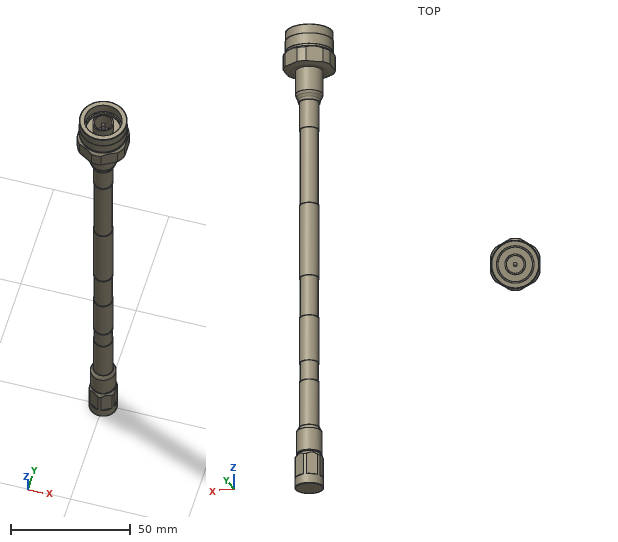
import cadquery as cq
import math

overall_length = 205.5
hex_sides = 6

cable_radius = 4.1
band_depth = 0.3
cable_bottom = 27.1
cable_top = 173.8
bands = [(47.7, 56.3), (76.6, 94.7), (127.5, 161.5)]

nut_across_flats = 20.5
nut_corner_radius = 10.9
nut_bottom = 188.0
nut_bottom_face_radius = 7.5
nut_bottom_chamfer_height = 0.6
nut_top = 195.8
nut_top_chamfer_height = 1.0
shell_radius = 10.0
shell_lip_step = 0.1
shell_lip_bottom = 201.4
shell_bottom = 196.6
neck_radius = 9.9
barrel_radius = 5.8
barrel_bottom = 177.5
collar_shoulder_radius = 5.3
collar_shoulder = 176.3
collar_radius = 4.7
collar_end_radius = 4.5
collar_taper_end = 175.0

rim_chamfer = 0.2
bore_radius = 7.8
ledge_depth = 4.5
ledge_radius = 7.2
bore_depth = 6.2
sleeve_bore_depth = 10.3
sleeve_radius = 4.3
sleeve_bore_radius = 3.7
sleeve_recess = 1.6
pin_radius = 0.8
pin_tip_height = 1.0
pin_recess = 1.8

body_radius = 5.3
body_bottom = 15.5
body_rim_radius = 4.3
body_chamfer_height = 1.8
small_neck_radius = 5.0
small_nut_radius = 6.0
small_nut_across_flats = 10.9
small_nut_top = 15.0
small_nut_chamfer_height = 1.6
flats_bottom = 4.3
base_chamfer = 0.2


def revolved(profile):
    """Turn a closed (radius, height) profile about the Z axis."""
    return cq.Workplane("XZ").polyline(profile).close().revolve(360, (0, 0, 0), (0, 1, 0))


def cylinder(radius, bottom, top):
    return cq.Workplane("XY").workplane(offset=bottom).circle(radius).extrude(top - bottom)


def hexagon(across_flats, bottom, top):
    """Hexagonal prism with two of its flats facing along X."""
    across_corners = across_flats / math.cos(math.pi / hex_sides)
    prism = cq.Workplane("XY").polygon(hex_sides, across_corners).extrude(top - bottom)
    return prism.rotate((0, 0, 0), (0, 0, 1), 180 / hex_sides).translate((0, 0, bottom))


def make_cable():
    cable = cylinder(cable_radius, cable_bottom, cable_top)
    for bottom, top in bands:
        ring = cylinder(cable_radius, bottom, top).cut(cylinder(cable_radius - band_depth, bottom, top))
        cable = cable.cut(ring)
    return cable


def make_large_connector():
    barrel = revolved([
        (0, cable_top),
        (collar_end_radius, cable_top),
        (collar_radius, collar_taper_end),
        (collar_shoulder_radius, collar_shoulder),
        (barrel_radius, barrel_bottom),
        (barrel_radius, nut_bottom),
        (0, nut_bottom),
    ])
    nut = revolved([
        (0, nut_bottom),
        (nut_bottom_face_radius, nut_bottom),
        (nut_corner_radius, nut_bottom + nut_bottom_chamfer_height),
        (nut_corner_radius, nut_top - nut_top_chamfer_height),
        (neck_radius, nut_top),
        (0, nut_top),
    ]).intersect(hexagon(nut_across_flats, nut_bottom, nut_top))
    neck = cylinder(neck_radius, nut_top, shell_bottom)
    shell = cylinder(shell_radius, shell_bottom, shell_lip_bottom)
    lip = cylinder(shell_radius - shell_lip_step, shell_lip_bottom, overall_length)
    lip = lip.faces(">Z").chamfer(rim_chamfer)

    bore_floor = overall_length - bore_depth
    bore = cylinder(bore_radius, overall_length - ledge_depth, overall_length)
    bore = bore.union(cylinder(ledge_radius, bore_floor, overall_length))
    sleeve = cylinder(sleeve_radius, bore_floor, overall_length - sleeve_recess)
    sleeve_floor = overall_length - sleeve_bore_depth
    sleeve_bore = cylinder(sleeve_bore_radius, sleeve_floor, overall_length)
    pin_tip = overall_length - pin_recess
    pin = revolved([
        (0, sleeve_floor),
        (pin_radius, sleeve_floor),
        (pin_radius, pin_tip - pin_tip_height),
        (0, pin_tip),
    ])
    cavity = bore.cut(sleeve).union(sleeve_bore).cut(pin)
    return barrel.union(nut).union(neck).union(shell).union(lip).cut(cavity)


def make_small_connector():
    body = revolved([
        (0, small_nut_top),
        (small_neck_radius, small_nut_top),
        (small_neck_radius, body_bottom),
        (body_radius, body_bottom),
        (body_radius, cable_bottom - body_chamfer_height),
        (body_rim_radius, cable_bottom),
        (0, cable_bottom),
    ])
    nut = revolved([
        (0, 0),
        (small_nut_radius - base_chamfer, 0),
        (small_nut_radius, base_chamfer),
        (small_nut_radius, small_nut_top - small_nut_chamfer_height),
        (small_neck_radius, small_nut_top),
        (0, small_nut_top),
    ])
    around_flats = cylinder(2 * small_nut_radius, flats_bottom, small_nut_top).cut(
        hexagon(small_nut_across_flats, flats_bottom, small_nut_top)
    )
    return body.union(nut.cut(around_flats))


cable = make_cable()
large_connector = make_large_connector()
small_connector = make_small_connector()

result = cq.Compound.makeCompound([cable.val(), large_connector.val(), small_connector.val()])